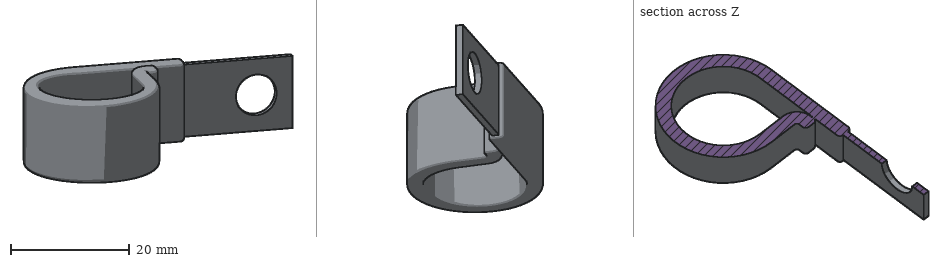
import cadquery as cq
import math

loop_outer_diameter = 23.01
strap_thickness = 1.22
strap_width = 12.7
cushion_thickness = 0.762
strap_end_y = 38.1
cushion_end_y = 19.05
hole_diameter = 7.14
hole_to_strap_end = 6.35
hook_inner_radius = 0.508
hook_tip_length = 1.6
hook_gap = 0.01

band_thickness = strap_thickness + 2 * cushion_thickness
band_width = strap_width + 2 * cushion_thickness
edge_radius = cushion_thickness
outer_radius = loop_outer_diameter / 2
inner_radius = outer_radius - band_thickness
strap_center_x = -(inner_radius + band_thickness / 2)
hook_outer_radius = hook_inner_radius + band_thickness
hook_left_x = -inner_radius + hook_gap
hook_right_x = hook_left_x + band_thickness
hook_middle_x = (hook_left_x + hook_right_x) / 2
hook_bend_x = hook_right_x + hook_inner_radius
hook_bend_y = outer_radius + hook_inner_radius
hook_end_y = hook_bend_y + hook_tip_length
hole_center_y = strap_end_y - hole_to_strap_end


def hook_bend_middle(radius):
    """Middle point of the quarter-circle hook bend at the given radius."""
    step = radius * math.sqrt(0.5)
    return (hook_bend_x - step, hook_bend_y - step)


def loop_middle(radius):
    """Middle point of the three-quarter loop, which runs from -X through -Y and +X to +Y."""
    step = radius * math.sqrt(0.5)
    return (step, -step)


def make_cushioned_band():
    """Tab leg, three-quarter loop and hook as one band, rounded on both rims and both ends."""
    band = (
        cq.Workplane("XY")
        .workplane(offset=-band_width / 2)
        .moveTo(-inner_radius, cushion_end_y)
        .lineTo(-outer_radius, cushion_end_y)
        .lineTo(-outer_radius, 0)
        .threePointArc(loop_middle(outer_radius), (0, outer_radius))
        .lineTo(hook_bend_x, outer_radius)
        .threePointArc(hook_bend_middle(hook_inner_radius), (hook_right_x, hook_bend_y))
        .lineTo(hook_right_x, hook_end_y)
        .lineTo(hook_left_x, hook_end_y)
        .lineTo(hook_left_x, hook_bend_y)
        .threePointArc(hook_bend_middle(hook_outer_radius), (hook_bend_x, inner_radius))
        .lineTo(0, inner_radius)
        .threePointArc(loop_middle(inner_radius), (-inner_radius, 0))
        .close()
        .extrude(band_width)
    )
    rim_edges = band.faces("<Z or >Z").edges()
    leg_end_edges = band.faces(">Y").edges("|Z")
    hook_end_face = band.faces(cq.selectors.NearestToPointSelector((hook_middle_x, hook_end_y, 0)))
    hook_end_edges = hook_end_face.edges("|Z")
    return rim_edges.add(leg_end_edges).add(hook_end_edges).fillet(edge_radius)


def make_mounting_tab():
    """Straight strap running inside the covered leg and out past it to the mounting hole."""
    tab = (
        cq.Workplane("XY")
        .box(strap_thickness, strap_end_y, strap_width)
        .translate((strap_center_x, strap_end_y / 2, 0))
    )
    hole = (
        cq.Workplane("YZ")
        .center(hole_center_y, 0)
        .circle(hole_diameter / 2)
        .extrude(band_thickness, both=True)
        .translate((strap_center_x, 0, 0))
    )
    return tab.cut(hole)


result = make_cushioned_band().union(make_mounting_tab())